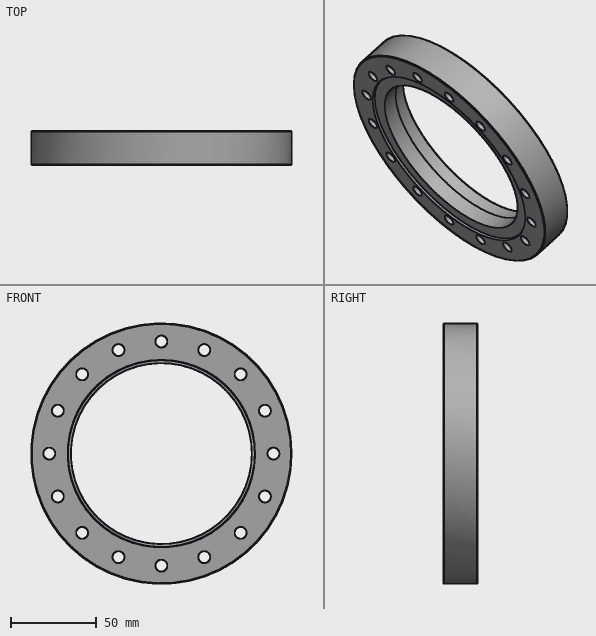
import cadquery as cq

outer_diameter = 151.6
thickness = 19.9
rim_chamfer = 0.5

bore_diameter = 105.0
recess_diameter = 108.5
recess_depth = 8.7
recess_chamfer = 0.3

seat_diameter = 120.6
seat_depth = 1.8

bolt_count = 16
bolt_circle_diameter = 130.3
bolt_hole_diameter = 6.8

front_y = -thickness / 2
back_y = thickness / 2


def cylinder_along_y(diameter, start_y, length):
    """Solid cylinder on the Y axis, running from start_y towards +Y."""
    plane = cq.Workplane("XZ", origin=(0, start_y, 0))
    return plane.circle(diameter / 2).extrude(-length)


def make_rim():
    """Solid disc with both outer edges chamfered."""
    disc = cylinder_along_y(outer_diameter, front_y, thickness)
    return disc.edges("%CIRCLE").chamfer(rim_chamfer)


def make_stepped_bore():
    """Volume removed by the through bore, the front recess and its chamfered mouth."""
    bore = cylinder_along_y(bore_diameter, front_y, thickness)
    recess = cylinder_along_y(recess_diameter, front_y, recess_depth)
    mouth_radius = recess_diameter / 2 + recess_chamfer
    mouth = cq.Workplane(
        cq.Solid.makeCone(
            mouth_radius,
            recess_diameter / 2,
            recess_chamfer,
            pnt=cq.Vector(0, front_y, 0),
            dir=cq.Vector(0, 1, 0),
        )
    )
    return bore.union(recess).union(mouth)


def make_gasket_seat():
    """Volume removed by the shallow seat in the back face."""
    return cylinder_along_y(seat_diameter, back_y - seat_depth, seat_depth)


def make_bolt_holes():
    """Volume removed by the evenly spaced through holes."""
    return (
        cq.Workplane("XZ", origin=(0, front_y, 0))
        .polarArray(bolt_circle_diameter / 2, 0, 360, bolt_count)
        .circle(bolt_hole_diameter / 2)
        .extrude(-thickness)
    )


result = (
    make_rim()
    .cut(make_stepped_bore())
    .cut(make_gasket_seat())
    .cut(make_bolt_holes())
)